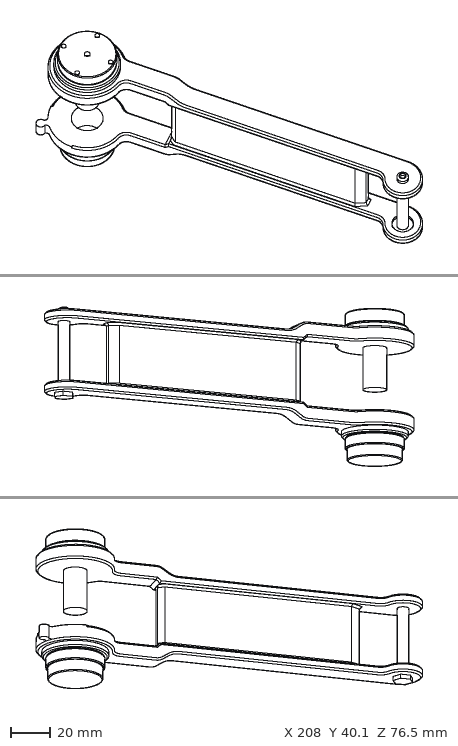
import cadquery as cq
import math

OVERALL_LENGTH = 207.96
OVERALL_HEIGHT = 76.5
DISC_RADIUS = 20.06
PIN_X = 175.0
END_RADIUS = 10.0
ARM_Y_MIN = -1.0
ARM_Y_MAX = 12.0
PLAN_FILLET = 5.0

HUB_INNER_Z = 18.0
HUB_OUTER_Z = 25.7
ARM_INNER_Z = 16.25
ARM_OUTER_Z = 21.0
OUTER_STEP_X = (45.1, 52.3)
INNER_STEP_X = (43.2, 45.2)
OUTER_STEP_RADII = (6.7, 9.4)
EDGE_CHAMFER = 1.0

FLANGE_RADIUS = 17.1
FLANGE_CHAMFER = 0.8
FLANGE_Z = 28.7
GROOVE_HEIGHT = 0.6
GROOVE_DEPTH = 0.4
CAP_RADIUS = 15.1
CAP_CHAMFER = 0.5
UPPER_CAP_Z = 35.65
LOWER_CAP_Z = -34.8
FOOT_RADIUS = 14.1
FOOT_Z = UPPER_CAP_Z - OVERALL_HEIGHT

BOLT_CIRCLE_RADIUS = 13.0
BOLT_HOLE_RADIUS = 1.2
CENTRE_HOLE_RADIUS = 1.5
CAP_HOLE_DEPTH = 3.0
STUB_RADIUS = 6.1
STUB_END_Z = -3.8
SOCKET_RADIUS = 8.1

LUG_ANGLE = 211.0
LUG_HEAD_RADIUS = 2.5
LUG_TIP_X = PIN_X + END_RADIUS - OVERALL_LENGTH
LUG_NECK_WIDTH = 3.2
LUG_ROOT_FILLET = 2.0

WEB_X = (45.1, 153.0)
WEB_FACE_X = (48.4, 148.0)
WEB_FACE_Y = (1.5, 8.9)
WEB_END_Y = (4.0, 6.8)
WEB_BEVEL_BREAK = (47.5, 1.9)
WEB_ROOT_FLARE = 1.2

PIN_RADIUS = 3.0
PIN_TOP_Z = 23.5
PIN_CHAMFER_HEIGHT = 0.8
PIN_CHAMFER_WIDTH = 1.2
PIN_SOCKET_RADIUS = 1.5
PIN_SOCKET_DEPTH = 1.5
PIN_RECESS_RADIUS = 5.5
PIN_RECESS_DEPTH = 1.5
NUT_ACROSS_CORNERS = 10.4
NUT_BOTTOM_Z = -23.2


def cylinder(radius, z_start, z_end, x=0.0, y=0.0):
    """Upright cylinder between two heights."""
    return cq.Workplane("XY").workplane(offset=z_start).center(x, y).circle(radius).extrude(z_end - z_start)


def toward(start, target, distance):
    """Point at a given distance from start in the direction of target."""
    share = distance / math.dist(start, target)
    return tuple(a + (b - a) * share for a, b in zip(start, target))


def arc_middle(centre, first, second, radius):
    """Midpoint of the shorter arc between two points on a circle."""
    between = tuple((a + b) / 2 for a, b in zip(first, second))
    return toward(centre, between, radius)


def arm_plan():
    """Outline of an arm seen along Z: hub disc, straight bar and rounded end with fillets."""
    hub = (0.0, 0.0)
    end = (PIN_X, 0.0)
    reach = DISC_RADIUS + PLAN_FILLET

    upper_y = ARM_Y_MAX + PLAN_FILLET
    lower_y = ARM_Y_MIN - PLAN_FILLET
    upper_centre = (math.sqrt(reach**2 - upper_y**2), upper_y)
    lower_centre = (math.sqrt(reach**2 - lower_y**2), lower_y)
    end_centre = (PIN_X - math.sqrt((END_RADIUS + PLAN_FILLET) ** 2 - lower_y**2), lower_y)

    hub_upper = toward(hub, upper_centre, DISC_RADIUS)
    hub_lower = toward(hub, lower_centre, DISC_RADIUS)
    bar_upper = (upper_centre[0], ARM_Y_MAX)
    bar_lower = (lower_centre[0], ARM_Y_MIN)
    end_lower = toward(end, end_centre, END_RADIUS)
    bar_end_lower = (end_centre[0], ARM_Y_MIN)

    corner_centre = (PIN_X + END_RADIUS - ARM_Y_MAX, 0.0)
    corner_start = (corner_centre[0], ARM_Y_MAX)
    tip = (PIN_X + END_RADIUS, 0.0)

    return (
        cq.Workplane("XY")
        .moveTo(*hub_upper)
        .threePointArc((-DISC_RADIUS, 0), hub_lower)
        .threePointArc(arc_middle(lower_centre, hub_lower, bar_lower, PLAN_FILLET), bar_lower)
        .lineTo(*bar_end_lower)
        .threePointArc(arc_middle(end_centre, bar_end_lower, end_lower, PLAN_FILLET), end_lower)
        .threePointArc((PIN_X, -END_RADIUS), tip)
        .threePointArc(arc_middle(corner_centre, corner_start, tip, ARM_Y_MAX), corner_start)
        .lineTo(*bar_upper)
        .threePointArc(arc_middle(upper_centre, bar_upper, hub_upper, PLAN_FILLET), hub_upper)
        .close()
    )


def upper_arm():
    """Cranked arm: the plan outline cut to the stepped side profile, with chamfered rims."""
    x_min = -2 * DISC_RADIUS
    x_max = PIN_X + 2 * END_RADIUS
    profile = (
        cq.Workplane("XZ")
        .polyline(
            [
                (x_min, HUB_INNER_Z),
                (INNER_STEP_X[0], HUB_INNER_Z),
                (INNER_STEP_X[1], ARM_INNER_Z),
                (x_max, ARM_INNER_Z),
                (x_max, ARM_OUTER_Z),
                (OUTER_STEP_X[1], ARM_OUTER_Z),
                (OUTER_STEP_X[0], HUB_OUTER_Z),
                (x_min, HUB_OUTER_Z),
            ]
        )
        .close()
        .extrude(2 * DISC_RADIUS, both=True)
    )
    for x, z, radius in zip(OUTER_STEP_X, (HUB_OUTER_Z, ARM_OUTER_Z), OUTER_STEP_RADII):
        profile = profile.edges(cq.selectors.NearestToPointSelector((x, 0, z))).fillet(radius)
    arm = arm_plan().extrude(2 * HUB_OUTER_Z).intersect(profile)
    return arm.faces("#Z").edges("not(|Z or |Y)").chamfer(EDGE_CHAMFER)


def lower_arm():
    """Mirrored arm whose disc keeps a sharp inner rim over one quarter, with a lug beside it."""
    arm = upper_arm().mirror("XY")
    thickness = HUB_OUTER_Z - HUB_INNER_Z - EDGE_CHAMFER
    base = cq.Workplane("XY").workplane(offset=-HUB_INNER_Z - thickness)
    quarter = (
        base.lineTo(-DISC_RADIUS, 0)
        .radiusArc((0, -DISC_RADIUS), -DISC_RADIUS)
        .close()
        .extrude(thickness)
    )
    return arm.union(quarter).union(lug(base, thickness))


def lug(base, thickness):
    """Round-headed lug on a narrow neck, its root blended into the disc."""
    head_reach = (LUG_TIP_X + LUG_HEAD_RADIUS) / math.cos(math.radians(LUG_ANGLE))
    half_neck = LUG_NECK_WIDTH / 2
    blend_y = half_neck + LUG_ROOT_FILLET
    blend_x = math.sqrt((DISC_RADIUS + LUG_ROOT_FILLET) ** 2 - blend_y**2)
    blend_centre = (blend_x, blend_y)
    root = toward((0, 0), blend_centre, DISC_RADIUS)
    neck = (blend_x, half_neck)
    middle = arc_middle(blend_centre, root, neck, LUG_ROOT_FILLET)
    root_to_head = (
        base.lineTo(*root)
        .threePointArc(middle, neck)
        .lineTo(head_reach, half_neck)
        .lineTo(head_reach, -half_neck)
        .lineTo(neck[0], -neck[1])
        .threePointArc((middle[0], -middle[1]), (root[0], -root[1]))
        .close()
        .extrude(thickness)
    )
    head = base.center(head_reach, 0).circle(LUG_HEAD_RADIUS).extrude(thickness)
    return root_to_head.union(head).rotate((0, 0, 0), (0, 0, 1), LUG_ANGLE)


def flange():
    """Chamfered flange on the outer face of the upper disc."""
    rim = cylinder(FLANGE_RADIUS, HUB_OUTER_Z, FLANGE_Z)
    return rim.faces(">Z").chamfer(FLANGE_CHAMFER)


def cap_groove():
    """Ring removed from the root of the upper cap to leave a shallow groove above the flange."""
    ring = cylinder(FLANGE_RADIUS, FLANGE_Z, FLANGE_Z + GROOVE_HEIGHT)
    return ring.cut(cylinder(CAP_RADIUS - GROOVE_DEPTH, FLANGE_Z, FLANGE_Z + GROOVE_HEIGHT))


def upper_hub():
    """Flange, drilled cap and the stub shaft that hangs between the arms."""
    cap = cylinder(CAP_RADIUS, HUB_OUTER_Z, UPPER_CAP_Z).faces(">Z").chamfer(CAP_CHAMFER)
    stub = cylinder(STUB_RADIUS, STUB_END_Z, HUB_OUTER_Z)
    hub = flange().union(cap.cut(cap_groove())).union(stub)
    hole_floor = UPPER_CAP_Z - CAP_HOLE_DEPTH
    hub = hub.cut(cylinder(CENTRE_HOLE_RADIUS, hole_floor, UPPER_CAP_Z))
    for x, y in (
        (BOLT_CIRCLE_RADIUS, 0),
        (0, BOLT_CIRCLE_RADIUS),
        (-BOLT_CIRCLE_RADIUS, 0),
        (0, -BOLT_CIRCLE_RADIUS),
    ):
        hole = cylinder(BOLT_HOLE_RADIUS, hole_floor, UPPER_CAP_Z, x, y)
        hub = hub.cut(hole)
    return hub


def lower_hub():
    """Flange, cap and narrower foot below the lower disc."""
    cap = cylinder(CAP_RADIUS, LOWER_CAP_Z, -HUB_OUTER_Z).faces("<Z").chamfer(CAP_CHAMFER)
    foot = cylinder(FOOT_RADIUS, FOOT_Z, LOWER_CAP_Z).faces("<Z").chamfer(CAP_CHAMFER)
    return flange().mirror("XY").union(cap.cut(cap_groove().mirror("XY"))).union(foot)


def web_outline(height):
    """Section of the web at a given height: a plate with bevelled ends."""
    start, end = WEB_X
    face_start, face_end = WEB_FACE_X
    front, back = WEB_FACE_Y
    end_front, end_back = WEB_END_Y
    points = [
        (start, end_front),
        WEB_BEVEL_BREAK,
        (face_start, front),
        (face_end, front),
        (end, end_front),
        (end, end_back),
        (face_end, back),
        (face_start, back),
        (start, end_back),
    ]
    return cq.Workplane("XY").workplane(offset=height).polyline(points).close()


def web():
    """Bevelled plate joining the two arms, flared at its roots except on the hub end."""
    plate = web_outline(-ARM_INNER_Z).extrude(2 * ARM_INNER_Z)
    flare_outline = web_outline(-ARM_INNER_Z).offset2D(WEB_ROOT_FLARE, "intersection")
    flare = flare_outline.extrude(WEB_ROOT_FLARE, taper=45)
    beyond_hub_end = cq.Workplane("XY").box(PIN_X, PIN_X, PIN_X, centered=(False, True, True))
    flare = flare.intersect(beyond_hub_end.translate((WEB_X[0], 0, 0)))
    return plate.union(flare).union(flare.mirror("XY"))


def pin():
    """Cross pin with a socketed top end and a hexagonal nut under the lower arm."""
    shaft = cylinder(PIN_RADIUS, NUT_BOTTOM_Z, PIN_TOP_Z, PIN_X)
    shaft = shaft.faces(">Z").chamfer(PIN_CHAMFER_HEIGHT, PIN_CHAMFER_WIDTH)
    socket = cylinder(PIN_SOCKET_RADIUS, PIN_TOP_Z - PIN_SOCKET_DEPTH, PIN_TOP_Z, PIN_X)
    nut = (
        cq.Workplane("XY")
        .workplane(offset=NUT_BOTTOM_Z)
        .center(PIN_X, 0)
        .polygon(6, NUT_ACROSS_CORNERS)
        .extrude(-ARM_OUTER_Z - NUT_BOTTOM_Z)
    )
    return shaft.cut(socket).union(nut)


hub_socket = cylinder(SOCKET_RADIUS, LOWER_CAP_Z, -HUB_INNER_Z)
pin_recess = cylinder(PIN_RECESS_RADIUS, -ARM_INNER_Z - PIN_RECESS_DEPTH, -ARM_INNER_Z, PIN_X)

result = lower_arm().union(lower_hub()).cut(hub_socket).cut(pin_recess)
result = result.union(upper_arm()).union(upper_hub()).union(web()).union(pin())